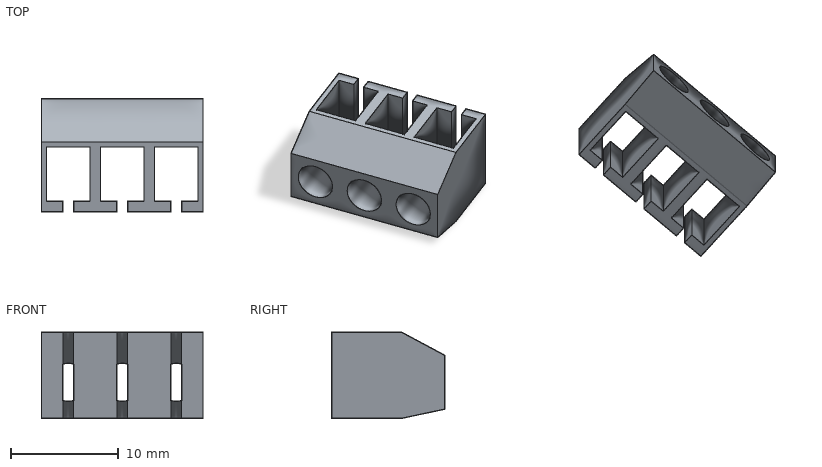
import cadquery as cq

length = 15.0
depth = 10.5
height = 8.0

straight_depth = 6.5
back_bottom = 0.85
back_top = 5.85

cell_count = 3
pitch = length / cell_count
partition = 1.0
cell_width = pitch - partition
front_wall = 1.0
cell_back = 6.0
slot_width = 1.0
hole_diameter = 3.5
hole_height = (back_bottom + back_top) / 2


def make_body():
    """Side profile in the YZ plane, extruded along X."""
    return (
        cq.Workplane("YZ")
        .moveTo(0, 0)
        .lineTo(straight_depth, 0)
        .lineTo(depth, back_bottom)
        .lineTo(depth, back_top)
        .lineTo(straight_depth, height)
        .lineTo(0, height)
        .close()
        .extrude(length)
    )


def make_cell_cutter(center_x):
    """Through cavity, its front slot and the round hole through the back wall."""
    cavity = (
        cq.Workplane("XY")
        .center(center_x, (front_wall + cell_back) / 2)
        .rect(cell_width, cell_back - front_wall)
        .extrude(height)
    )
    slot = (
        cq.Workplane("XY")
        .center(center_x, cell_back / 2)
        .rect(slot_width, cell_back)
        .extrude(height)
    )
    hole = (
        cq.Workplane("XZ", origin=(center_x, depth, hole_height))
        .circle(hole_diameter / 2)
        .extrude(depth - cell_back)
    )
    return cavity.union(slot).union(hole)


result = make_body()
for index in range(cell_count):
    result = result.cut(make_cell_cutter((index + 0.5) * pitch))